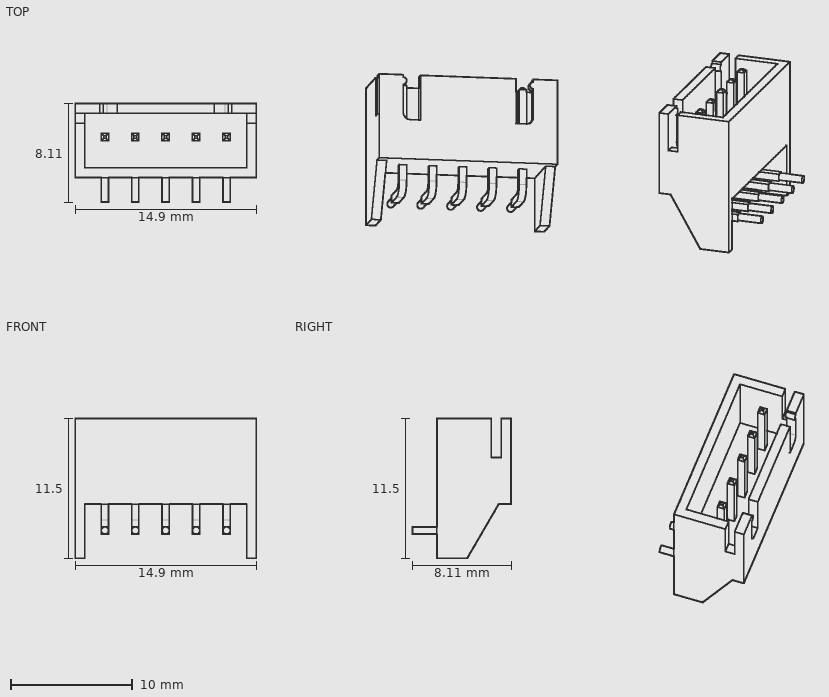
import cadquery as cq


length = 14.9
depth = 6.1
height = 11.5
wall = 0.8
box_height = 7.05
cavity_depth = 5.56
box_bottom = height - box_height

leg_foot_depth = 2.5
leg_shoulder = 1.0

arm_length = 2.01
arm_slot_width = 1.45
arm_slot_depth = 3.75
arm_slot_fillet = 0.6
end_slot_width = 0.8
end_slot_depth = 3.2
bump_radius = 0.3
bump_drop = 0.5

pin_count = 5
pin_pitch = 2.5
pin_width = 0.61
pin_y = 3.34
pin_top = 11.3
tip_height = 0.2
tip_width = 0.21
tail_z = 2.28
tail_length = 2.01
bend_inner_radius = 0.6


def block(x_range, y_range, z_range):
    """Box spanning the given (low, high) range on each axis."""
    sizes = [high - low for low, high in (x_range, y_range, z_range)]
    corner = (x_range[0], y_range[0], z_range[0])
    return cq.Workplane("XY").box(*sizes, centered=False).translate(corner)


def housing_shell():
    """Open-topped box standing on two end legs."""
    side_profile = [
        (0, 0),
        (leg_foot_depth, 0),
        (depth - leg_shoulder, box_bottom),
        (depth, box_bottom),
        (depth, height),
        (0, height),
    ]
    body = cq.Workplane("YZ").polyline(side_profile).close().extrude(length / 2, both=True)
    inner_x = (wall - length / 2, length / 2 - wall)
    cavity = block(inner_x, (wall, depth - wall), (height - cavity_depth, height))
    leg_gap = block(inner_x, (0, depth), (0, box_bottom))
    return body.cut(cavity).cut(leg_gap)


def left_latch_cuts():
    """Slots that free the left latch arm from the end wall and the back wall."""
    left = -length / 2
    slot_start = left + arm_length
    arm_slot = block(
        (slot_start, slot_start + arm_slot_width),
        (depth - wall, depth),
        (height - arm_slot_depth, height),
    )
    arm_slot = arm_slot.edges("|Y and <X and <Z").fillet(arm_slot_fillet)
    end_slot = block(
        (left, left + wall),
        (depth - wall - end_slot_width, depth - wall),
        (height - end_slot_depth, height),
    )
    return arm_slot.union(end_slot)


def left_latch_bump():
    """Rounded catch near the top of the left latch arm, facing the slot."""
    return (
        cq.Workplane("XZ", origin=(0, depth, 0))
        .center(arm_length - length / 2, height - bump_drop)
        .circle(bump_radius)
        .extrude(wall)
    )


def pin():
    """Square pin bent toward the mounting face, ending in a round tail."""
    bend_radius = bend_inner_radius + pin_width / 2
    path = (
        cq.Workplane("YZ")
        .moveTo(pin_y, pin_top - tip_height)
        .lineTo(pin_y, tail_z + bend_radius)
        .radiusArc((pin_y - bend_radius, tail_z), bend_radius)
        .lineTo(0, tail_z)
    )
    top_plane = cq.Workplane("XY", origin=(0, pin_y, pin_top - tip_height))
    shank = top_plane.rect(pin_width, pin_width).sweep(path)
    tip = (
        top_plane.rect(pin_width, pin_width)
        .workplane(offset=tip_height)
        .rect(tip_width, tip_width)
        .loft()
    )
    tail = cq.Workplane("XZ", origin=(0, 0, tail_z)).circle(pin_width / 2).extrude(tail_length)
    return shank.union(tip).union(tail)


result = housing_shell()

latch_cuts = left_latch_cuts()
result = result.cut(latch_cuts).cut(latch_cuts.mirror("YZ"))

latch_bump = left_latch_bump()
result = result.union(latch_bump).union(latch_bump.mirror("YZ"))

single_pin = pin()
for index in range(pin_count):
    pin_x = (index - (pin_count - 1) / 2) * pin_pitch
    result = result.union(single_pin.translate((pin_x, 0, 0)))